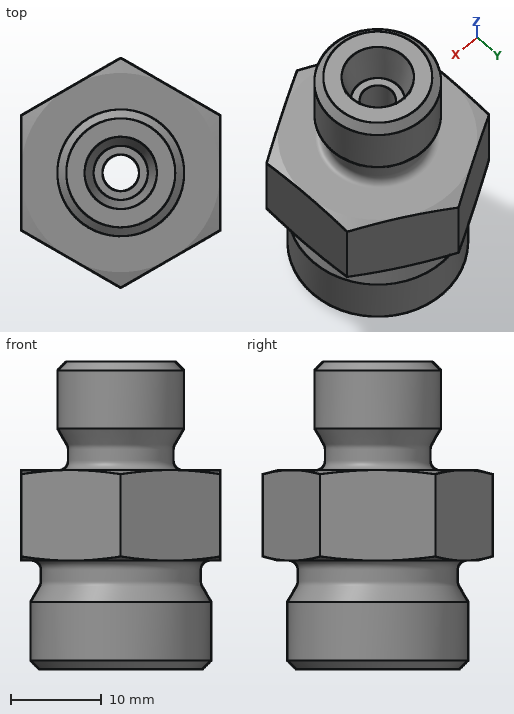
import cadquery as cq
import math

total_length = 34.0
hex_width = 22.0
hex_bottom = 12.0
hex_top = 22.0
hex_bevel_angle = 15.0

upper_diameter = 14.0
upper_neck_diameter = 11.7
lower_diameter = 20.0
lower_neck_diameter = 17.7
end_chamfer = 1.0
neck_length = 2.6
undercut_angle = 30.0
undercut_radius = 1.0

bore_diameter = 4.0
seat_mouth_diameter = 8.0
seat_floor_diameter = 6.0
seat_half_angle = 12.0


def tan_degrees(angle):
    return math.tan(math.radians(angle))


def make_hexagon():
    """Hexagon with corners on the Y axis, bevelled conically at both ends."""
    height = hex_top - hex_bottom
    corner_diameter = hex_width / math.cos(math.pi / 6)
    prism = (
        cq.Workplane("XY", origin=(0, 0, hex_bottom))
        .polygon(6, corner_diameter)
        .extrude(height)
        .rotate((0, 0, 0), (0, 0, 1), 30)
    )
    face_radius = hex_width / 2
    outer_radius = corner_diameter
    bevel_drop = (outer_radius - face_radius) * tan_degrees(hex_bevel_angle)
    envelope = (
        cq.Workplane("XZ")
        .moveTo(0, hex_bottom)
        .lineTo(face_radius, hex_bottom)
        .lineTo(outer_radius, hex_bottom + bevel_drop)
        .lineTo(outer_radius, hex_top - bevel_drop)
        .lineTo(face_radius, hex_top)
        .lineTo(0, hex_top)
        .close()
        .revolve(360, (0, 0, 0), (0, 1, 0))
    )
    return prism.intersect(envelope)


def make_end(diameter, neck_diameter, hex_face, end_face):
    """Threaded end running outward from a hexagon face, with a rounded undercut."""
    direction = math.copysign(1, end_face - hex_face)
    radius = diameter / 2
    neck_radius = neck_diameter / 2
    foot_radius = neck_radius + undercut_radius
    foot_end = hex_face + direction * undercut_radius
    cone_start = hex_face + direction * neck_length
    cone_end = cone_start + direction * (radius - neck_radius) / tan_degrees(undercut_angle)
    foot_middle_offset = undercut_radius * (1 - math.sqrt(0.5))
    foot_middle = (neck_radius + foot_middle_offset, hex_face + direction * foot_middle_offset)

    tangent_length = undercut_radius * tan_degrees(undercut_angle / 2)
    blend_angle = math.radians(undercut_angle)
    blend_start_z = cone_start - direction * tangent_length
    blend_middle = (
        neck_radius + undercut_radius * (1 - math.cos(blend_angle / 2)),
        blend_start_z + direction * undercut_radius * math.sin(blend_angle / 2),
    )
    blend_end = (
        neck_radius + undercut_radius * (1 - math.cos(blend_angle)),
        blend_start_z + direction * undercut_radius * math.sin(blend_angle),
    )
    return (
        cq.Workplane("XZ")
        .moveTo(0, hex_face)
        .lineTo(foot_radius, hex_face)
        .threePointArc(foot_middle, (neck_radius, foot_end))
        .lineTo(neck_radius, blend_start_z)
        .threePointArc(blend_middle, blend_end)
        .lineTo(radius, cone_end)
        .lineTo(radius, end_face - direction * end_chamfer)
        .lineTo(radius - end_chamfer, end_face)
        .lineTo(0, end_face)
        .close()
        .revolve(360, (0, 0, 0), (0, 1, 0))
    )


def make_bore():
    """Through bore opening into a tapered seat with a flat floor at the top."""
    mouth_radius = seat_mouth_diameter / 2
    floor_radius = seat_floor_diameter / 2
    seat_depth = (mouth_radius - floor_radius) / tan_degrees(seat_half_angle)
    seat_floor = total_length - seat_depth
    return (
        cq.Workplane("XZ")
        .lineTo(bore_diameter / 2, 0)
        .lineTo(bore_diameter / 2, seat_floor)
        .lineTo(floor_radius, seat_floor)
        .lineTo(mouth_radius, total_length)
        .lineTo(0, total_length)
        .close()
        .revolve(360, (0, 0, 0), (0, 1, 0))
    )


upper_end = make_end(upper_diameter, upper_neck_diameter, hex_top, total_length)
lower_end = make_end(lower_diameter, lower_neck_diameter, hex_bottom, 0)
result = make_hexagon().union(upper_end).union(lower_end).cut(make_bore())